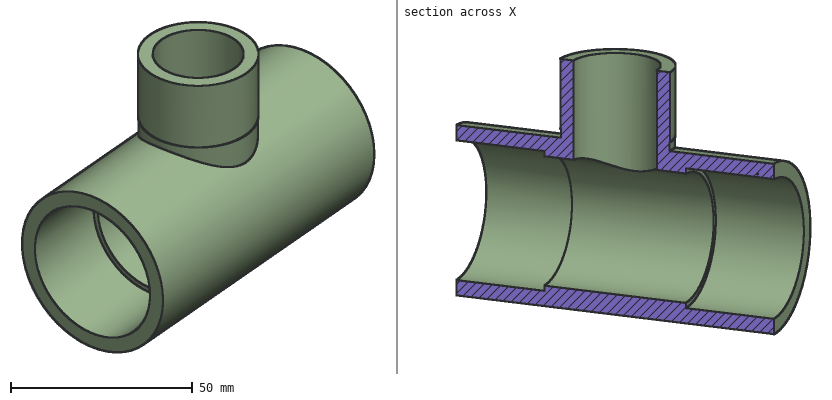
import cadquery as cq

length = 96.0
outer_diameter = 49.0
bore_diameter = 37.0
socket_diameter = 39.9
socket_depth = 26.6

branch_top = 47.0
branch_diameter = 33.3
branch_bore_diameter = 25.1
neck_diameter = 33.0
neck_top = 27.0


def cylinder_along_y(diameter, start, depth):
    """Cylinder on the main axis, from Y = start to Y = start + depth."""
    plane = cq.Plane(origin=(0, start, 0), xDir=(1, 0, 0), normal=(0, 1, 0))
    return cq.Workplane(plane).circle(diameter / 2).extrude(depth)


def cylinder_along_z(diameter, bottom, top):
    """Cylinder on the branch axis between two heights."""
    return cq.Workplane("XY").workplane(offset=bottom).circle(diameter / 2).extrude(top - bottom)


body = cylinder_along_y(outer_diameter, -length / 2, length)
body = body.union(cylinder_along_z(neck_diameter, 0, neck_top))
body = body.union(cylinder_along_z(branch_diameter, neck_top, branch_top))

body = body.cut(cylinder_along_y(bore_diameter, -length / 2, length))
for socket_start in (-length / 2, length / 2 - socket_depth):
    body = body.cut(cylinder_along_y(socket_diameter, socket_start, socket_depth))

result = body.cut(cylinder_along_z(branch_bore_diameter, 0, branch_top))